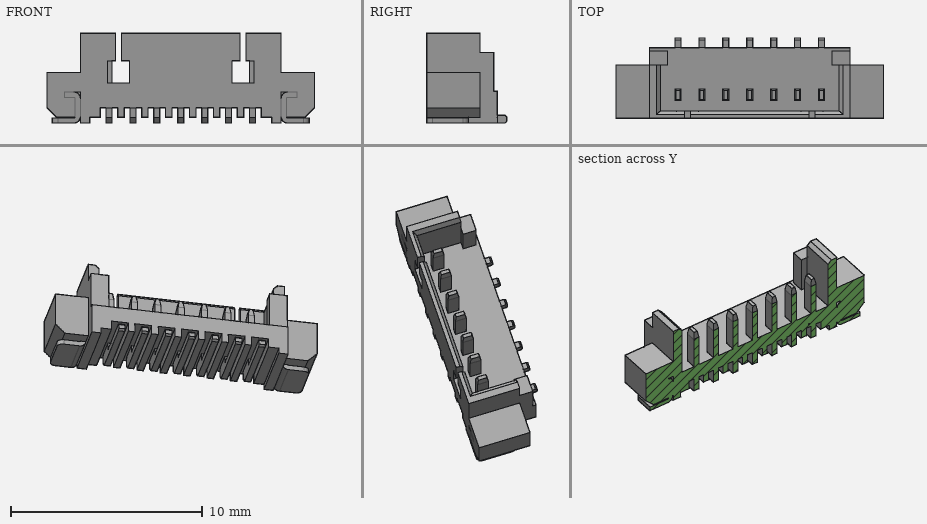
import cadquery as cq

overall_width = 14.0
overall_height = 4.7
body_width = 10.5
shell_depth = 2.8
base_depth = 3.7
base_height = 1.67
post_depth = 3.52
post_height = 3.7
post_inner_x = 4.3

cavity_half_width = 4.67
front_wall = 0.38
lead_in_side = 0.21
lead_in_front = 0.17
lead_in_depth = 0.2

slot_x = 3.26
slot_width = 0.3
window_width = 1.14
window_bottom = 2.1
window_top = 3.25

wing_top = 2.65
wing_bottom = 0.3
wing_chamfer = 0.5
foot_width = 0.5
tooth_bottom = 0.3
notch_width = 0.9
notch_top = 0.8

pin_count = 7
pin_pitch = 1.25
pin_width = 0.33
pin_front = 0.92
pin_thickness = 0.6
pin_top = 3.9
pin_tip_inset = 0.07
pin_tip_height = 0.4
heel_front = 0.27
tail_end = 4.2
tail_height = 0.42
tail_chamfer = 0.1
heel_chamfer = 0.3

tab_thickness = 0.27
tab_depth = 2.2
tab_top = 1.62
tab_upper_end = 6.07
tab_lower_end = 6.73
tab_bend_radius = 0.33
tab_inner_radius = 0.08
tab_corner_radius = 0.3

half_body = body_width / 2
half_width = overall_width / 2
pin_positions = [(i - (pin_count - 1) / 2) * pin_pitch for i in range(pin_count)]


def block(x_min, x_max, y_min, y_max, z_min, z_max):
    """Axis-aligned box given by its limits."""
    size = (x_max - x_min, y_max - y_min, z_max - z_min)
    return cq.Workplane("XY").box(*size, centered=False).translate((x_min, y_min, z_min))


def mirrored(right_half):
    """The given solid and its mirror image across X = 0."""
    return [right_half, right_half.mirror("YZ")]


def wing():
    """Right-hand side wing with a chamfered lower outer edge."""
    outline = [
        (half_body, wing_bottom),
        (half_width - wing_chamfer, wing_bottom),
        (half_width, wing_bottom + wing_chamfer),
        (half_width, wing_top),
        (half_body, wing_top),
    ]
    return cq.Workplane("XZ").polyline(outline).close().extrude(-shell_depth)


def cavity():
    """Mating cavity, open at the top and the rear, with a flared mouth along its walls."""
    half = cavity_half_width
    opening = block(-half, half, front_wall, base_depth, base_height, overall_height)
    mouth_half = half + lead_in_side
    mouth_front = front_wall - lead_in_front
    mouth_rear = shell_depth
    lower = [(-half, front_wall), (half, front_wall), (half, mouth_rear), (-half, mouth_rear)]
    upper = [
        (-mouth_half, mouth_front),
        (mouth_half, mouth_front),
        (mouth_half, mouth_rear),
        (-mouth_half, mouth_rear),
    ]
    flare = (
        cq.Workplane("XY", origin=(0, 0, overall_height - lead_in_depth))
        .polyline(lower)
        .close()
        .workplane(offset=lead_in_depth)
        .polyline(upper)
        .close()
        .loft(ruled=True)
    )
    return opening.union(flare)


def slot():
    """Right-hand slot through the front wall, with its window."""
    slit = block(
        slot_x - slot_width / 2, slot_x + slot_width / 2, 0, front_wall, window_bottom, overall_height
    )
    window = block(
        slot_x - window_width / 2, slot_x + window_width / 2, 0, front_wall, window_bottom, window_top
    )
    return slit.union(window)


def housing():
    base = block(-half_body, half_body, 0, base_depth, 0, base_height)
    shell = block(-half_body, half_body, 0, shell_depth, base_height, overall_height)
    body = base.union(shell).cut(cavity())
    post = block(post_inner_x, half_body, shell_depth, post_depth, base_height, post_height)
    for solid in mirrored(post) + mirrored(wing()):
        body = body.union(solid)
    for solid in mirrored(slot()):
        body = body.cut(solid)
    foot_inner_x = half_body - foot_width
    half_notch = notch_width / 2
    body = body.cut(block(-foot_inner_x, foot_inner_x, 0, base_depth, 0, tooth_bottom))
    for x in pin_positions:
        body = body.cut(block(x - half_notch, x + half_notch, 0, base_depth, 0, notch_top))
    return body


def terminal(x):
    """Terminal with a tapered upright contact, a bevelled heel under the housing and a rear solder tail."""
    pin_rear = pin_front + pin_thickness
    half = pin_width / 2
    shoulder = pin_top - pin_tip_height
    upright = block(x - half, x + half, pin_front, pin_rear, notch_top, shoulder)
    tip = (
        cq.Workplane("XY", origin=(x, pin_front + pin_thickness / 2, shoulder))
        .rect(pin_width, pin_thickness)
        .workplane(offset=pin_tip_height)
        .rect(pin_width - 2 * pin_tip_inset, pin_thickness - 2 * pin_tip_inset)
        .loft(ruled=True)
    )
    heel = block(x - half, x + half, heel_front, pin_rear, 0, notch_top)
    heel = heel.edges("<Y and <Z").chamfer(heel_chamfer)
    tail = block(x - half, x + half, pin_rear, tail_end, 0, tail_height)
    tail = tail.faces(">Y").edges("|X").chamfer(tail_chamfer)
    return upright.union(tip).union(heel).union(tail)


def tab_strip():
    """Right-hand C-shaped strip with sharp outer bends, flush with the front face."""
    strip = block(half_body, tab_lower_end, 0, tab_depth, 0, tab_top)
    inner_x = half_body + tab_thickness
    gap = block(inner_x, tab_lower_end, 0, tab_depth, tab_thickness, tab_top - tab_thickness)
    gap = gap.edges("|Y and <X").fillet(tab_inner_radius)
    beyond_upper_arm = block(tab_upper_end, tab_lower_end, 0, tab_depth, tab_thickness, tab_top)
    return strip.cut(gap).cut(beyond_upper_arm)


def tab():
    """Right-hand solder tab: the strip with rounded outer bends and rounded end corners."""
    strip = tab_strip().edges("|Y and <X").fillet(tab_bend_radius)
    return strip.edges("|Z and >X").fillet(tab_corner_radius)


result = housing()
for pocket in mirrored(tab_strip()):
    result = result.cut(pocket)
for pin_x in pin_positions:
    result = result.union(terminal(pin_x))
for solder_tab in mirrored(tab()):
    result = result.union(solder_tab, clean=False)